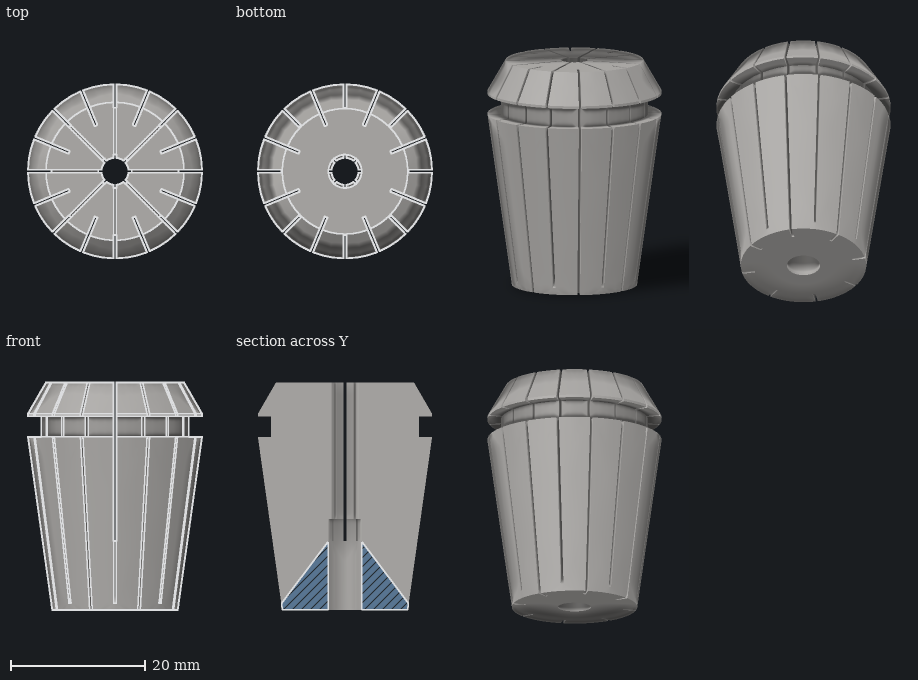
import cadquery as cq
import math


LENGTH = 34.0
OUTER_DIAMETER = 26.0
OUTER_RADIUS = OUTER_DIAMETER / 2
TOP_CONE_ANGLE = 30.0
BODY_CONE_ANGLE = 8.0
TOP_RADIUS = 10.3
GROOVE_RADIUS = 11.0
GROOVE_BOTTOM_Z = 25.87
GROOVE_TOP_Z = 28.95

BORE_RADIUS = 2.0
RELIEF_RADIUS = 2.48
RELIEF_DEPTH = 13.6

SLOTS_PER_SET = 8
SLOT_PITCH = 360 / SLOTS_PER_SET
SLOT_WIDTH = 0.4
LONG_SLOT_FLOOR_Z = 1.02
LONG_SLOT_INNER_Z = 10.35
SHORT_SLOT_INNER_RADIUS = 7.4
SLOT_OVERSHOOT = 0.68
SLOT_REACH = OUTER_RADIUS + SLOT_OVERSHOOT


def tan_degrees(angle):
    return math.tan(math.radians(angle))


def collet_blank():
    """Turned body with both cones, the extraction groove and the stepped bore."""
    bottom_radius = OUTER_RADIUS - GROOVE_BOTTOM_Z * tan_degrees(BODY_CONE_ANGLE)
    rim_z = LENGTH - (OUTER_RADIUS - TOP_RADIUS) / tan_degrees(TOP_CONE_ANGLE)
    profile = (
        cq.Workplane("XZ")
        .moveTo(RELIEF_RADIUS, 0)
        .lineTo(bottom_radius, 0)
        .lineTo(OUTER_RADIUS, GROOVE_BOTTOM_Z)
        .lineTo(GROOVE_RADIUS, GROOVE_BOTTOM_Z)
        .lineTo(GROOVE_RADIUS, GROOVE_TOP_Z)
        .lineTo(OUTER_RADIUS, GROOVE_TOP_Z)
        .lineTo(OUTER_RADIUS, rim_z)
        .lineTo(TOP_RADIUS, LENGTH)
        .lineTo(BORE_RADIUS, LENGTH)
        .lineTo(BORE_RADIUS, RELIEF_DEPTH)
        .lineTo(RELIEF_RADIUS, RELIEF_DEPTH)
        .close()
    )
    return profile.revolve(360, (0, 0, 0), (0, 1, 0))


def long_slot():
    """Slot open at the top and into the bore, its floor rising from the cone to the relief wall."""
    cone_growth = tan_degrees(BODY_CONE_ANGLE)
    floor_radius = OUTER_RADIUS - (GROOVE_BOTTOM_Z - LONG_SLOT_FLOOR_Z) * cone_growth
    floor_slope = (LONG_SLOT_INNER_Z - LONG_SLOT_FLOOR_Z) / (floor_radius - RELIEF_RADIUS)
    reach_z = LONG_SLOT_FLOOR_Z - (SLOT_REACH - floor_radius) * floor_slope
    return (
        cq.Workplane("XZ")
        .moveTo(0, LENGTH)
        .lineTo(0, LONG_SLOT_INNER_Z)
        .lineTo(RELIEF_RADIUS, LONG_SLOT_INNER_Z)
        .lineTo(SLOT_REACH, reach_z)
        .lineTo(SLOT_REACH, LENGTH)
        .close()
        .extrude(SLOT_WIDTH / 2, both=True)
    )


def short_slot():
    """Slot over the full height that stops well outside the bore."""
    return (
        cq.Workplane("XY")
        .box(SLOT_REACH - SHORT_SLOT_INNER_RADIUS, SLOT_WIDTH, LENGTH, centered=(False, True, False))
        .translate((SHORT_SLOT_INNER_RADIUS, 0, 0))
    )


def cut_around_axis(body, slot, start_angle):
    """Cut one set of equally spaced slots, the first at start_angle from +X."""
    for index in range(SLOTS_PER_SET):
        angle = start_angle + index * SLOT_PITCH
        body = body.cut(slot.rotate((0, 0, 0), (0, 0, 1), angle))
    return body


collet = collet_blank()
collet = cut_around_axis(collet, long_slot(), 0)
collet = cut_around_axis(collet, short_slot(), SLOT_PITCH / 2)
result = collet